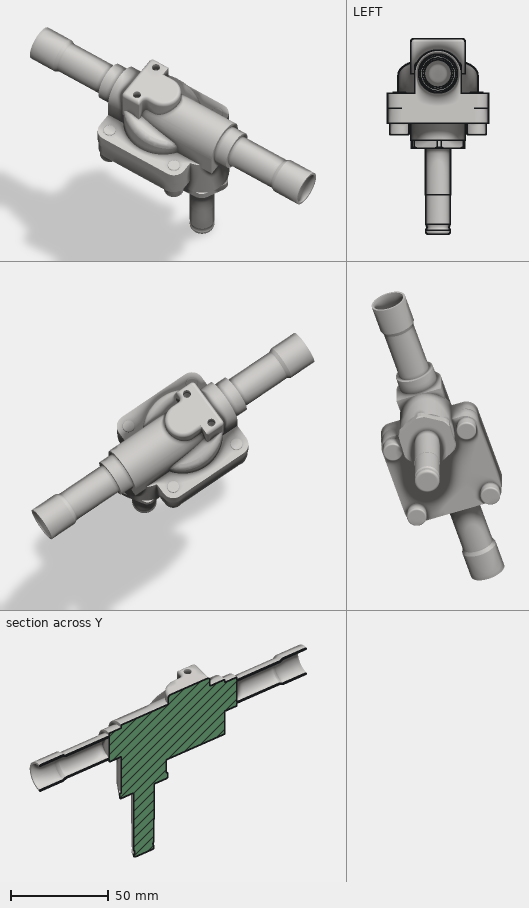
import cadquery as cq
import math


pipe_length = 165.0
socket_diameter = 18.2
tube_diameter = 16.2
socket_bore = 16.0
tube_bore = 14.0
socket_start = 68.0
taper_start = 66.0
collar_diameter = 20.0
collar_end = 39.5

body_end = 32.0
body_diameter = 24.1
body_radius = body_diameter / 2

flange_size = 52.0
flange_top = -10.0
flange_split = -18.0
flange_bottom = -25.5
upper_corner_radius = 6.1
lower_corner_radius = 7.1
flange_x = flange_size / 2 - body_end

bolt_inset = 6.1
bolt_spacing = flange_size - 2 * bolt_inset
bolt_tip_diameter = 6.5
bolt_tip_height = 0.5
bolt_tip_chamfer = 0.25
bolt_head_diameter = 10.0
bolt_head_height = 6.0
bolt_head_round = 0.8

chamber_diameter = 41.2
chamber_slope = 19.0
chamber_lid_height = 2.0
chamber_round = 3.1

boss_top = 18.0
boss_left = -22.8
boss_right = -11.7
boss_width = 28.0
boss_round = 2.0
boss_rim_round = 1.8
boss_far_corner_round = 1.0
tongue_width = 18.2
tongue_inner_round = 2.0
boss_hole_diameter = 4.1
boss_hole_depth = 5.0
drill_point_angle = 118.0
boss_hole_places = [(-17.2, 9.9), (-15.7, -9.9)]

column_diameter = 28.0
column_x = body_end - column_diameter / 2
column_bottom = -34.3
nut_bottom = -38.5
nut_across_flats = 26.9
nut_across_corners = 30.0
nut_turn = 32.6
nut_chamfer = 0.7
stem_diameter = 13.0
stem_step = -62.2
stem_lower_diameter = 12.7
stem_bottom = -82.7
neck_top = -77.4
neck_bottom = -80.5
neck_diameter = 11.5
neck_mouth_diameter = 12.0
neck_bevel = 0.5
stem_end_round = 1.3


def cylinder_z(diameter, bottom, top, x=0.0, y=0.0):
    """Upright cylinder between two heights."""
    return cq.Workplane("XY", origin=(x, y, bottom)).circle(diameter / 2).extrude(top - bottom)


def cylinder_x(diameter, half_length):
    """Cylinder on the pipe axis, centred on the origin."""
    start = cq.Workplane("YZ", origin=(-half_length, 0, 0))
    return start.circle(diameter / 2).extrude(2 * half_length)


def block(left, right, width, bottom, top):
    """Box centred on the XZ plane."""
    return (
        cq.Workplane("XY", origin=((left + right) / 2, 0, bottom))
        .rect(right - left, width)
        .extrude(top - bottom)
    )


def nearest(x, y, z):
    """Selector for the edge whose middle is nearest to a point."""
    return cq.selectors.NearestToPointSelector((x, y, z))


def make_tube_end():
    """Hollow tube with a swollen socket, on the +X side."""
    half = pipe_length / 2
    return (
        cq.Workplane("XZ")
        .moveTo(0, 0)
        .lineTo(0, tube_diameter / 2)
        .lineTo(taper_start, tube_diameter / 2)
        .lineTo(socket_start, socket_diameter / 2)
        .lineTo(half, socket_diameter / 2)
        .lineTo(half, socket_bore / 2)
        .lineTo(socket_start, socket_bore / 2)
        .lineTo(taper_start, tube_bore / 2)
        .lineTo(collar_end, tube_bore / 2)
        .lineTo(collar_end, 0)
        .close()
        .revolve(360, (0, 0, 0), (1, 0, 0))
    )


def make_pipe():
    tube = make_tube_end()
    collars = cylinder_x(collar_diameter, collar_end)
    collars = collars.cut(cylinder_x(tube_diameter, collar_end))
    return collars.union(tube).union(tube.mirror("YZ"))


def make_body():
    """Round on top, square-sided below the pipe axis."""
    return (
        cq.Workplane("YZ", origin=(-body_end, 0, 0))
        .moveTo(-body_radius, -body_radius)
        .lineTo(body_radius, -body_radius)
        .lineTo(body_radius, 0)
        .threePointArc((0, body_radius), (-body_radius, 0))
        .close()
        .extrude(2 * body_end)
    )


def make_flange_plate(bottom, top, corner_radius):
    plate = block(flange_x - flange_size / 2, flange_x + flange_size / 2, flange_size, bottom, top)
    return plate.edges("|Z").fillet(corner_radius)


def make_flange():
    upper = make_flange_plate(flange_split, flange_top, upper_corner_radius)
    lower = make_flange_plate(flange_bottom, flange_split, lower_corner_radius)
    return upper.union(lower)


def make_bolt(x, y):
    """Bolt head below the flange and bolt tip just above it."""
    head = cylinder_z(bolt_head_diameter, flange_bottom - bolt_head_height, flange_bottom, x, y)
    head = head.faces("<Z").edges().fillet(bolt_head_round)
    tip = cylinder_z(bolt_tip_diameter, flange_bottom, flange_top + bolt_tip_height, x, y)
    tip = tip.faces(">Z").edges().chamfer(bolt_tip_chamfer)
    return head.union(tip)


def make_chamber():
    """Upright cylinder cut by a plane falling towards +X, with a rounded rim."""
    radius = chamber_diameter / 2
    rise = radius * math.tan(math.radians(chamber_slope))
    profile = (
        cq.Workplane("XZ", origin=(flange_x, 0, 0))
        .moveTo(-radius, flange_bottom)
        .lineTo(radius, flange_bottom)
        .lineTo(radius, chamber_lid_height - rise)
        .lineTo(-radius, chamber_lid_height + rise)
        .close()
        .extrude(radius, both=True)
    )
    lid_top = chamber_lid_height + rise
    chamber = cylinder_z(chamber_diameter, flange_bottom, lid_top, flange_x).intersect(profile)
    return chamber.faces(">Z").edges().fillet(chamber_round)


def make_boss():
    """Rectangular head with a round-ended tongue, rounded along its upper rim."""
    half_tongue = tongue_width / 2
    half_width = boss_width / 2
    boss = (
        cq.Workplane("XY")
        .moveTo(boss_left, -half_width)
        .lineTo(boss_right, -half_width)
        .lineTo(boss_right, -half_tongue)
        .lineTo(flange_x, -half_tongue)
        .threePointArc((flange_x + half_tongue, 0), (flange_x, half_tongue))
        .lineTo(boss_right, half_tongue)
        .lineTo(boss_right, half_width)
        .lineTo(boss_left, half_width)
        .close()
        .extrude(boss_top)
    )
    inner_corner = nearest(boss_right, -half_tongue, boss_top / 2)
    boss = boss.edges(inner_corner).fillet(tongue_inner_round)
    boss = boss.edges("|Z and <X").fillet(boss_round)

    square_edge = nearest(boss_right, (half_tongue + half_width) / 2, boss_top)
    rim = boss.faces(">Z").edges(cq.selectors.InverseSelector(square_edge))
    boss = rim.fillet(boss_rim_round)

    corner_x = boss_right - boss_far_corner_round
    corner_y = half_width - boss_far_corner_round
    corner = (
        cq.Workplane("XY")
        .moveTo(corner_x, half_width)
        .lineTo(boss_right, half_width)
        .lineTo(boss_right, corner_y)
        .radiusArc((corner_x, half_width), -boss_far_corner_round)
        .close()
        .extrude(boss_top)
    )
    return boss.cut(corner)


def make_boss_hole(x, y):
    """Blind drilled hole ending in a drill point."""
    radius = boss_hole_diameter / 2
    point = radius / math.tan(math.radians(drill_point_angle / 2))
    return (
        cq.Workplane("XZ", origin=(x, y, boss_top))
        .lineTo(radius, 0)
        .lineTo(radius, -boss_hole_depth)
        .lineTo(0, -boss_hole_depth - point)
        .close()
        .revolve(360, (0, 0, 0), (0, 1, 0))
    )


def make_nut():
    """Thin hexagon with its corners turned down to a circle."""
    hexagon = (
        cq.Workplane("XY", origin=(column_x, 0, nut_bottom))
        .transformed(rotate=(0, 0, nut_turn))
        .polygon(6, nut_across_flats, circumscribed=True)
        .extrude(column_bottom - nut_bottom)
    )
    blank = cylinder_z(nut_across_corners, nut_bottom, column_bottom, column_x)
    return hexagon.intersect(blank.faces("<Z").edges().chamfer(nut_chamfer))


def make_stem():
    """Stepped stem with a hollow neck above its rounded bottom rim."""
    radius = stem_lower_diameter / 2
    neck_radius = neck_diameter / 2
    neck_mouth_radius = neck_mouth_diameter / 2
    neck_middle = (neck_top + neck_bottom) / 2
    return (
        cq.Workplane("XZ", origin=(column_x, 0, 0))
        .moveTo(0, column_bottom)
        .lineTo(stem_diameter / 2, column_bottom)
        .lineTo(stem_diameter / 2, stem_step)
        .lineTo(radius, stem_step)
        .lineTo(radius, neck_top)
        .lineTo(neck_mouth_radius, neck_top - neck_bevel)
        .threePointArc((neck_radius, neck_middle), (neck_mouth_radius, neck_bottom + neck_bevel))
        .lineTo(radius, neck_bottom)
        .lineTo(radius, stem_bottom + stem_end_round)
        .radiusArc((radius - stem_end_round, stem_bottom), stem_end_round)
        .lineTo(0, stem_bottom)
        .close()
        .revolve(360, (0, 0, 0), (0, 1, 0))
    )


def add_bolts(part):
    """Four bolts, one near each flange corner."""
    half_spacing = bolt_spacing / 2
    for side_x in (-1, 1):
        for side_y in (-1, 1):
            part = part.union(make_bolt(flange_x + side_x * half_spacing, side_y * half_spacing))
    return part


result = make_body().union(make_pipe()).union(make_flange())
result = add_bolts(result)
result = result.union(make_chamber()).union(make_boss())
for hole_x, hole_y in boss_hole_places:
    result = result.cut(make_boss_hole(hole_x, hole_y))

column = cylinder_z(column_diameter, column_bottom, flange_top, column_x)
result = result.union(column).union(make_nut()).union(make_stem())